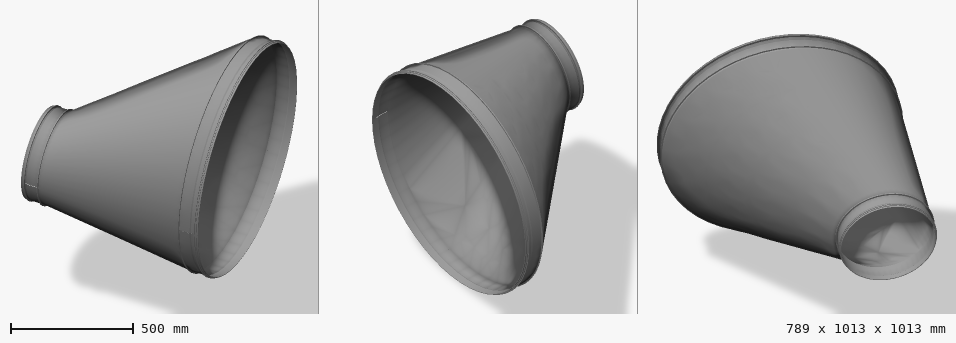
import cadquery as cq


total_length = 789.0
wall = 0.5
small_diameter = 399.0
big_diameter = 999.0
small_axis_y = (small_diameter - big_diameter) / 2

hem_length = 3.0
gasket_width = 13.0
band_width = 4.0
lip_width = 4.0
small_recess_diameter = 394.0
small_recess_end = 22.0
small_step_end = 25.0
big_recess_diameter = 995.0
big_recess_end = 31.0
big_step_end = 36.0

gasket_end = hem_length + gasket_width

small_gasket_diameter = 404.0
small_lip_diameter = 409.0
big_gasket_diameter = 1005.0
big_lip_diameter = 1013.0

flange_thickness = 2.0
small_flange_diameter = 413.0
small_collar_length = 75.0
small_neck_end = 80.0
joint_ring_diameter = 1013.0
joint_ring_width = 1.0
big_collar_length = 83.0
big_neck_length = 7.0

seam_gap = 2.0
seam_cut_depth = 20.0

joint_ring_x = total_length - big_collar_length - joint_ring_width
big_neck_start = joint_ring_x - big_neck_length


def revolved(points, axis_y=0.0):
    """Turn an outline of (x, diameter) points about an axis parallel to X."""
    outline = [(x, axis_y - diameter / 2) for x, diameter in points]
    return cq.Workplane("XY").polyline(outline).close().revolve(360, (0, axis_y), (1, axis_y))


def tube(start, end, outer_diameter, inner_diameter, axis_y=0.0):
    """Plain ring between two X positions."""
    return revolved(
        [(start, outer_diameter), (end, outer_diameter), (end, inner_diameter), (start, inner_diameter)],
        axis_y,
    )


def inside(diameter):
    """Inner diameter of sheet with the given outer diameter."""
    return diameter - 2 * wall


def from_mouth(points):
    """Measure the outline from the big mouth instead of from the small one."""
    return [(total_length - x, diameter) for x, diameter in points]


def collar_outline(length, diameter, recess_diameter, recess_end, step_end):
    """Collar sheet with its hem, gasket recess and tapered step, measured from its mouth."""
    return [
        (0, diameter),
        (hem_length, diameter),
        (hem_length, recess_diameter),
        (recess_end, recess_diameter),
        (step_end, diameter),
        (length, diameter),
        (length, inside(diameter)),
        (step_end, inside(diameter)),
        (recess_end, inside(recess_diameter)),
        (0, inside(recess_diameter)),
    ]


def gasket_outline(recess_diameter, band_diameter, gasket_diameter, lip_diameter):
    """Gasket stepping up from a band beside the hem to a lip on the side away from the mouth."""
    band_end = hem_length + band_width
    lip_start = gasket_end - lip_width
    return [
        (hem_length, recess_diameter),
        (hem_length, band_diameter),
        (band_end, band_diameter),
        (band_end, gasket_diameter),
        (lip_start, gasket_diameter),
        (lip_start, lip_diameter),
        (gasket_end, lip_diameter),
        (gasket_end, recess_diameter),
    ]


def seam_cut(start, end, diameter, axis_y=0.0):
    """Narrow gap through the -Y side of a collar sheet."""
    centre = ((start + end) / 2, axis_y - diameter / 2, 0)
    return cq.Workplane("XY").box(end - start, seam_cut_depth, seam_gap).translate(centre)


def make_small_collar():
    sheet = revolved(
        collar_outline(
            small_collar_length, small_diameter, small_recess_diameter, small_recess_end, small_step_end
        ),
        small_axis_y,
    )
    flange = tube(
        small_collar_length - flange_thickness,
        small_collar_length,
        small_flange_diameter,
        inside(small_diameter),
        small_axis_y,
    )
    seam_end = small_collar_length - flange_thickness
    seam = seam_cut(gasket_end, seam_end, small_diameter, small_axis_y)
    return sheet.union(flange).cut(seam)


def make_big_collar():
    outline = collar_outline(
        big_collar_length, big_diameter, big_recess_diameter, big_recess_end, big_step_end
    )
    seam = seam_cut(total_length - big_collar_length, total_length - gasket_end, big_diameter)
    return revolved(from_mouth(outline)).cut(seam)


def make_small_gasket():
    outline = gasket_outline(small_recess_diameter, small_diameter, small_gasket_diameter, small_lip_diameter)
    return revolved(outline, small_axis_y)


def make_big_gasket():
    outline = gasket_outline(big_recess_diameter, big_diameter, big_gasket_diameter, big_lip_diameter)
    return revolved(from_mouth(outline))


def make_joint_ring():
    """Thin disc between the cone and the big collar."""
    ring_end = joint_ring_x + joint_ring_width
    return tube(joint_ring_x, ring_end, joint_ring_diameter, inside(big_diameter))


def oblique_cone(small_end_diameter, big_end_diameter):
    """Solid cone between two circles whose centres are offset in Y."""
    along_x = cq.Vector(1, 0, 0)
    small_centre = cq.Vector(small_neck_end, small_axis_y, 0)
    big_centre = cq.Vector(big_neck_start, 0, 0)
    small_circle = cq.Wire.makeCircle(small_end_diameter / 2, small_centre, along_x)
    big_circle = cq.Wire.makeCircle(big_end_diameter / 2, big_centre, along_x)
    return cq.Workplane(cq.Solid.makeLoft([small_circle, big_circle], True))


def make_cone():
    """Sheet cone with a flanged neck at the small end and a plain neck at the big end."""
    skin = oblique_cone(small_diameter, big_diameter)
    hollow = oblique_cone(inside(small_diameter), inside(big_diameter))
    flange = tube(
        small_collar_length,
        small_collar_length + flange_thickness,
        small_flange_diameter,
        inside(small_diameter),
        small_axis_y,
    )
    small_neck = tube(
        small_collar_length, small_neck_end, small_diameter, inside(small_diameter), small_axis_y
    )
    big_neck = tube(big_neck_start, joint_ring_x, big_diameter, inside(big_diameter))
    return skin.cut(hollow).union(small_neck).union(flange).union(big_neck)


cone = make_cone()
small_collar = make_small_collar()
big_collar = make_big_collar()
small_gasket = make_small_gasket()
big_gasket = make_big_gasket()
joint_ring = make_joint_ring()

result = cq.Compound.makeCompound(
    [
        cone.solids().val(),
        small_collar.solids().val(),
        big_collar.solids().val(),
        small_gasket.val(),
        big_gasket.val(),
        joint_ring.val(),
    ]
)